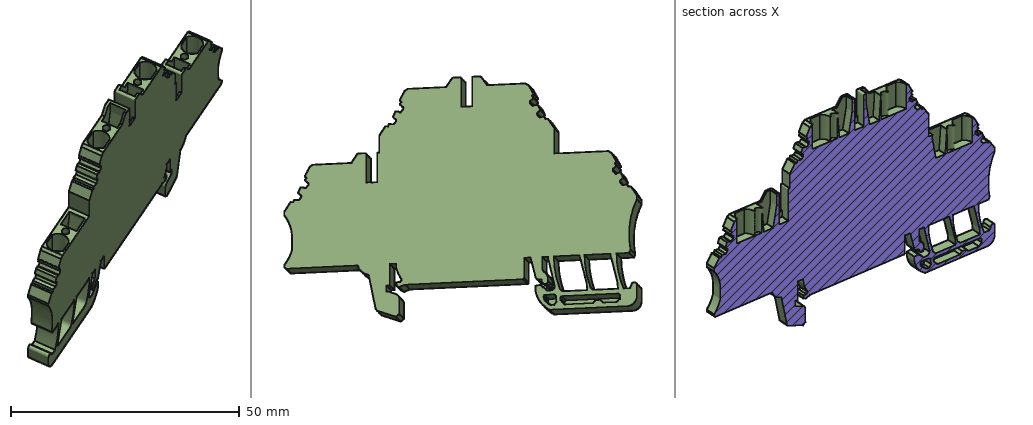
import cadquery as cq


thickness = 5.1
half_length = 39.5
overcut = 0.8

base_level = 11.9
rail_level = 7.1
waist_level = 16.1
lower_head_level = 35.0
level_rise = 16.05
upper_head_level = lower_head_level + level_rise

lower_head_edge = 33.1
slot_to_head_edge = 13.2
upper_slot_y = -1.35
lower_slot_y = lower_head_edge - slot_to_head_edge
upper_left_edge = upper_slot_y + slot_to_head_edge
upper_right_edge = upper_slot_y - slot_to_head_edge

hump_height = 2.05
hump_foot = 4.6
hump_top = 3.2
hump_round = 0.6
slot_mouth_round = 0.3
slot_width = 2.45
slot_depth = 4.6
groove_width = 3.6
groove_depth = 1.6

wire_hole_offset = 2.5
wire_hole_diameter = 4.9
wire_hole_width = 4.2
test_hole_offset = 6.1
test_hole_diameter = 1.65
pocket_start = 7.3
pocket_end = 11.15
pocket_width = 3.9
pocket_ramp_run = 0.95
pocket_outer_run = 0.4
pocket_ramp_top = 1.0
opening_depth = 6.3
recess_far_wall = 2.05

flank_steps = [
    (0, 0), (0.7, 0.5), (1.8, 2.5), (1.4, 2.85), (1.8, 3.4), (0.95, 4.1), (1.0, 4.6), (1.65, 5.2),
    (2.05, 5.0), (2.8, 5.0), (3.3, 6.2), (2.5, 6.9), (2.7, 7.3), (3.2, 7.8), (4.2, 7.7), (4.4, 8.2),
    (5.0, 8.15), (6.4, 10.3),
]
shoulder_out = flank_steps[-1][0]


def plate(outline):
    """Closed outline in the YZ plane, extruded over the full thickness."""
    return outline.close().extrude(thickness / 2, both=True)


def polygon_plate(points):
    return plate(cq.Workplane("YZ").polyline(points))


def flank(edge_y, level, side):
    """Flank points from the head's edge outward and down; side is +1 toward +Y, -1 toward -Y."""
    return [(edge_y + side * out, level - down) for out, down in flank_steps]


def lower_housing():
    waist_y = 37.8
    toe_round = 0.4
    outline = (
        cq.Workplane("YZ")
        .polyline(flank(-lower_head_edge, lower_head_level, -1)[::-1]
                  + flank(lower_head_edge, lower_head_level, 1))
        .lineTo(half_length, 23.9)
        .threePointArc((38.4, 22.0), (waist_y, 19.0))
        .lineTo(waist_y, waist_level)
        .threePointArc((38.5, 14.3), (half_length, 12.8))
        .lineTo(half_length, base_level + toe_round)
        .lineTo(half_length - toe_round, base_level)
        .lineTo(-waist_y, base_level)
        .lineTo(-38.1, 12.65)
        .threePointArc((-37.9, 14.3), (-waist_y, waist_level))
        .threePointArc((-38.3, 20.4), (-half_length, 23.9))
    )
    return plate(outline)


def upper_housing():
    return polygon_plate(
        [(upper_right_edge - shoulder_out, base_level + overcut)]
        + flank(upper_right_edge, upper_head_level, -1)[::-1]
        + flank(upper_left_edge, upper_head_level, 1)
        + [(upper_left_edge + shoulder_out, base_level + overcut)]
    )


def hump(slot_y, level, side):
    """One hump beside a slot, rooted down to the slot floor; side is +1 toward +Y, -1 toward -Y."""
    slot_edge = slot_y + side * slot_width / 2
    foot = slot_y + side * hump_foot
    crest = level + hump_height
    floor = level - slot_depth
    body = polygon_plate([
        (slot_edge, floor), (slot_edge, crest), (slot_y + side * hump_top, crest),
        (foot, level), (foot, floor),
    ])
    outer, inner = (">Y", "<Y") if side > 0 else ("<Y", ">Y")
    body = body.edges("|X and >Z").edges(outer).fillet(hump_round)
    return body.edges("|X and >Z").edges(inner).fillet(slot_mouth_round)


def box_cut(x_range, y_range, z_range):
    (x0, x1), (y0, y1), (z0, z1) = x_range, y_range, z_range
    return cq.Workplane("XY").box(x1 - x0, y1 - y0, z1 - z0, centered=False).translate((x0, y0, z0))


def slot_cut(slot_y, level):
    y_range = (slot_y - slot_width / 2, slot_y + slot_width / 2)
    floor = level - slot_depth
    slot = box_cut((-thickness, thickness), y_range, (floor, level + hump_height + overcut))
    groove_walls = (recess_far_wall - groove_width, recess_far_wall)
    groove = box_cut(groove_walls, y_range, (floor - groove_depth, floor))
    return slot.union(groove)


def head_openings(edge_y, level, side):
    """Wire hole, test hole and ramped pocket; side is the direction the head's flank faces."""
    def inward(offset):
        return edge_y - side * offset

    floor = level - opening_depth
    top = level + hump_height + overcut
    wire_y = inward(wire_hole_offset)
    wire_hole = (
        cq.Workplane("XY", origin=(0, wire_y, floor))
        .circle(wire_hole_diameter / 2).extrude(opening_depth + overcut)
        .intersect(cq.Workplane("XY").box(wire_hole_width, 2 * half_length, 2 * top)
                   .translate((0, wire_y, top)))
    )
    test_hole = (
        cq.Workplane("XY", origin=(0, inward(test_hole_offset), floor))
        .circle(test_hole_diameter / 2).extrude(opening_depth + overcut)
    )
    pocket = (
        cq.Workplane("YZ", origin=(recess_far_wall, 0, 0))
        .polyline([
            (inward(pocket_start), top), (inward(pocket_start), level - pocket_ramp_top),
            (inward(pocket_start + pocket_outer_run), floor),
            (inward(pocket_end - pocket_ramp_run), floor),
            (inward(pocket_end), level - pocket_ramp_top), (inward(pocket_end), top),
        ])
        .close().extrude(-pocket_width)
    )
    return wire_hole.union(test_hole).union(pocket)


def rail_block():
    """Centre block with the small hook that grips the rail on its left side."""
    return polygon_plate([
        (-14.2, base_level + overcut), (-14.2, rail_level + 0.2), (-14.0, rail_level), (12.4, rail_level),
        (13.75, 6.65), (14.4, 6.95), (14.4, 7.75), (13.6, 7.8), (13.2, 8.2), (14.0, 9.65), (14.4, 10.75),
        (14.5, base_level + overcut),
    ])


def latch_foot():
    outline = (
        cq.Workplane("YZ")
        .moveTo(15.9, base_level + overcut)
        .lineTo(15.9, rail_level)
        .lineTo(16.6, rail_level)
        .lineTo(16.6, 5.85)
        .lineTo(14.7, 5.2)
        .threePointArc((14.1, 4.8), (13.75, 4.2))
        .lineTo(13.75, 0.6)
        .lineTo(14.5, 0)
        .lineTo(18.7, 1.6)
        .lineTo(19.05, 2.0)
        .lineTo(20.6, 9.7)
        .threePointArc((22.1, 10.4), (23.2, base_level))
        .lineTo(23.2, base_level + overcut)
    )
    return plate(outline)


bar_top = 4.0
window_width = 5.8
window_lean = 1.7
first_window_y = -20.9
window_pitch = 6.9
window_count = 2
bar_pocket_depth = 4.6


def spring_foot():
    root_level = base_level + overcut
    outline = (
        cq.Workplane("YZ")
        .moveTo(-19.5, root_level)
        .lineTo(-19.5, base_level)
        .lineTo(-21.1, 5.05)
        .threePointArc((-20.8, 4.6), (-20.1, 4.35))
        .threePointArc((-19.4, 4.4), (-18.9, 4.9))
        .lineTo(-17.9, 5.7)
        .lineTo(-16.8, 5.5)
        .lineTo(-16.8, 4.4)
        .threePointArc((-17.8, 1.9), (-19.9, 0))
        .lineTo(-37.4, 0)
        .threePointArc((-38.9, 0.6), (-half_length, 2.1))
        .lineTo(-half_length, 4.7)
        .threePointArc((-38.9, 5.3), (-38.3, 4.7))
        .lineTo(-37.95, bar_top)
        .lineTo(-36.5, bar_top)
        .threePointArc((-35.35, 8.0), (-34.95, base_level))
        .lineTo(-34.95, root_level)
    )
    foot = plate(outline)
    for index in range(window_count):
        foot = foot.cut(foot_window(first_window_y - index * window_pitch))
    return foot.cut(tip_pocket()).cut(long_pocket())


def foot_window(start_y):
    end_y = start_y - window_width
    outline = (
        cq.Workplane("YZ")
        .moveTo(start_y, base_level)
        .threePointArc((start_y - 0.3, 8.5), (start_y - 1.3, 4.9))
        .threePointArc((start_y - 1.6, 4.35), (start_y - 2.3, bar_top))
        .lineTo(end_y - window_lean, bar_top)
        .lineTo(end_y - window_lean + 0.15, bar_top + 1.6)
        .lineTo(end_y, base_level)
    )
    return plate(outline)


def bar_pocket(points):
    """Blind pocket sunk into the bar from the -X face."""
    outline = cq.Workplane("YZ", origin=(-thickness / 2, 0, 0)).polyline(points).close()
    return outline.extrude(bar_pocket_depth)


def tip_pocket():
    return bar_pocket([
        (-18.8, 3.4), (-21.0, 3.4), (-21.35, 3.1), (-21.5, 1.7), (-20.95, 1.0), (-20.2, 1.0),
        (-18.7, 2.3), (-18.6, 3.0),
    ])


def long_pocket():
    """Long pocket in the bar with a small rise in its floor."""
    floor = 1.0
    ceiling = 2.9
    rise = 0.6
    return bar_pocket([
        (-22.6, ceiling), (-35.35, ceiling), (-35.7, 2.5), (-35.7, 1.7), (-34.95, floor), (-32.0, floor),
        (-31.4, floor + rise), (-30.3, floor + rise), (-29.65, floor), (-23.3, floor), (-22.4, 2.05),
        (-22.3, 2.5),
    ])


def rail_finger():
    """Short curved finger between the rail block and the spring foot."""
    root_level = base_level + overcut
    return polygon_plate([
        (-15.65, root_level), (-15.65, base_level), (-16.85, 7.3), (-17.15, 6.95), (-18.0, 6.95), (-18.3, 6.25),
        (-18.65, 5.85), (-19.4, 5.85), (-19.6, 6.4), (-19.45, 7.8), (-19.0, 8.45), (-18.4, 8.85),
        (-18.3, 9.5), (-18.3, root_level),
    ])


slots = [(upper_slot_y, upper_head_level), (lower_slot_y, lower_head_level)]
heads = [
    (lower_head_edge, lower_head_level, 1),
    (upper_left_edge, upper_head_level, 1),
    (upper_right_edge, upper_head_level, -1),
    (-lower_head_edge, lower_head_level, -1),
]

result = lower_housing().union(upper_housing())
for slot_y, level in slots:
    for side in (1, -1):
        result = result.union(hump(slot_y, level, side))
for lower_part in (rail_block(), latch_foot(), rail_finger(), spring_foot()):
    result = result.union(lower_part)
for slot_y, level in slots:
    result = result.cut(slot_cut(slot_y, level))
for edge_y, level, side in heads:
    result = result.cut(head_openings(edge_y, level, side))